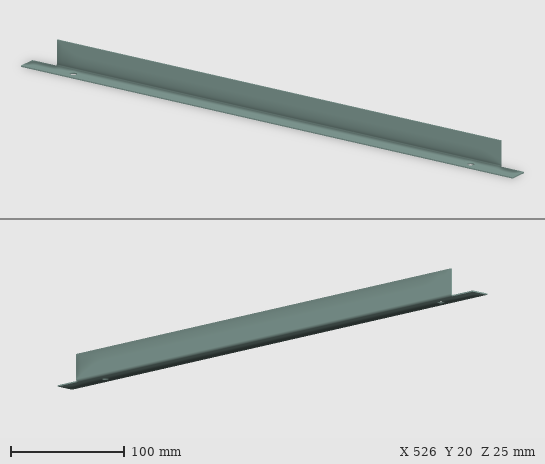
import cadquery as cq

length = 526.0
depth = 20.0
height = 25.0

sheet = 1.2
inner_bend_radius = 1.0
outer_bend_radius = inner_bend_radius + sheet

end_setback = 25.5
flange_length = length - 2 * end_setback

hole_diameter = 6.5
hole_end_distance = 50.5
hole_front_distance = 8.0
hole_spacing = length - 2 * hole_end_distance


def make_base():
    """Flat strip lying on Z = 0, ending where the bend begins."""
    flat_depth = depth - outer_bend_radius
    return cq.Workplane("XY").box(length, flat_depth, sheet, centered=(True, False, False))


def make_bent_flange():
    """Quarter-round bend with the upright flange along the back (+Y) side."""
    bend_start = depth - outer_bend_radius
    inner_face = depth - sheet
    profile = (
        cq.Workplane("YZ")
        .workplane(offset=-flange_length / 2)
        .moveTo(bend_start, 0)
        .radiusArc((depth, outer_bend_radius), -outer_bend_radius)
        .lineTo(depth, height)
        .lineTo(inner_face, height)
        .lineTo(inner_face, outer_bend_radius)
        .radiusArc((bend_start, sheet), inner_bend_radius)
        .close()
    )
    return profile.extrude(flange_length)


def make_hole_cutters():
    """One through cylinder near each end of the base."""
    hole_x = hole_spacing / 2
    return (
        cq.Workplane("XY")
        .pushPoints([(-hole_x, hole_front_distance), (hole_x, hole_front_distance)])
        .circle(hole_diameter / 2)
        .extrude(sheet)
    )


result = make_base().union(make_bent_flange()).cut(make_hole_cutters())